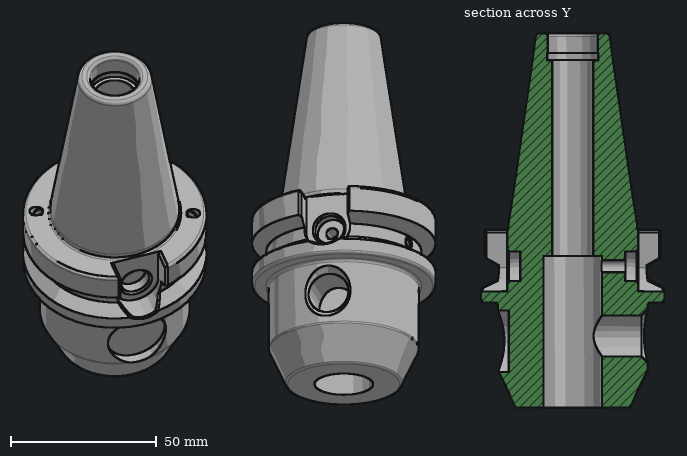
import cadquery as cq
import math


top_z = 65.4
taper_end_z = 0.25
flange_top_z = -2.0
groove_mid_z = -16.6
flange_bottom_z = -27.0
nose_cone_z = -50.2
bottom_z = -63.0

neck_diameter = 44.19
flange_diameter = 63.0
groove_diameter = 53.2
nose_diameter = 51.5
bottom_diameter = 39.6

taper_ratio = 7 / 24
groove_floor_half = 2.35
groove_flank_angle = 30.0

top_round = 1.5
neck_round = 0.7
flange_round = 1.0
nose_round = 1.0
cone_round = 1.5

seat_diameter = 17.0
seat_round = 1.1
seat_relief_diameter = 17.35
seat_relief_z = 58.5
seat_floor_z = 56.1
through_diameter = 14.0
bore_diameter = 20.0
bore_depth = 52.0

slot_width = 16.1
slot_floor_x = 22.5
slot_centre_z = -15.0
slot_chamfer = 0.95
slot_arc_chamfer = 0.5

slot_hole_z = -14.5
slot_hole_diameter = 10.05
slot_hole_mouth_diameter = 11.5
slot_hole_depth = 4.5
slot_pilot_diameter = 4.0

screw_z = -38.4
screw_diameter = 14.0
screw_mouth_diameter = 18.4
recess_z = -40.2
recess_diameter = 21.0
recess_floor_x = 22.0

coolant_angle = 20.0
coolant_tilt = 30.0
coolant_entry_radius = 26.9
coolant_diameter = 3.3
coolant_mouth_diameter = 4.0
coolant_mouth_depth = 1.2
vent_diameter = 2.8
vent_mouth_diameter = 4.0

neck_radius = neck_diameter / 2
flange_radius = flange_diameter / 2
groove_radius = groove_diameter / 2
nose_radius = nose_diameter / 2
bore_top_z = bottom_z + bore_depth
top_radius = neck_radius - (top_z - taper_end_z) * taper_ratio / 2
flank_height = (flange_radius - groove_radius) * math.tan(math.radians(groove_flank_angle))
groove_half = groove_floor_half + flank_height


def cylinder_x(diameter, z, x_start, x_end):
    """Cylinder along X between two X positions."""
    return cq.Workplane("YZ", origin=(x_start, 0, z)).circle(diameter / 2).extrude(x_end - x_start)


def cone_x(diameter_start, diameter_end, z, x_start, x_end):
    """Cone frustum along X."""
    return cq.Workplane(
        cq.Solid.makeCone(
            diameter_start / 2,
            diameter_end / 2,
            x_end - x_start,
            pnt=cq.Vector(x_start, 0, z),
            dir=cq.Vector(1, 0, 0),
        )
    )


def cylinder_z(diameter, z_low, z_high):
    """Cylinder on the part axis."""
    return cq.Workplane("XY", origin=(0, 0, z_low)).circle(diameter / 2).extrude(z_high - z_low)


def round_edge_at(body, radius, z, fillet):
    """Fillet the horizontal circular edge of given radius and height."""
    tol = 0.01
    edges = []
    for edge in body.edges("%CIRCLE").vals():
        if abs(edge.Center().z - z) < tol and abs(edge.radius() - radius) < tol:
            edges.append(edge)
    return body.newObject(edges).fillet(fillet)


def turned_body():
    outline = [
        (0, top_z),
        (top_radius, top_z),
        (neck_radius, taper_end_z),
        (neck_radius, flange_top_z),
        (flange_radius, flange_top_z),
        (flange_radius, groove_mid_z + groove_half),
        (groove_radius, groove_mid_z + groove_floor_half),
        (groove_radius, groove_mid_z - groove_floor_half),
        (flange_radius, groove_mid_z - groove_half),
        (flange_radius, flange_bottom_z),
        (nose_radius, flange_bottom_z),
        (nose_radius, nose_cone_z),
        (bottom_diameter / 2, bottom_z),
        (0, bottom_z),
    ]
    body = cq.Workplane("YZ").polyline(outline).close().revolve(360, (0, 0), (0, 1))
    rounded = [
        (top_radius, top_z, top_round),
        (neck_radius, flange_top_z, neck_round),
        (flange_radius, flange_bottom_z, flange_round),
        (nose_radius, flange_bottom_z, nose_round),
        (nose_radius, nose_cone_z, cone_round),
        (bottom_diameter / 2, bottom_z, nose_round),
    ]
    for radius, z, fillet in rounded:
        body = round_edge_at(body, radius, z, fillet)
    return body


def cut_axial_bores(body):
    body = body.cut(cylinder_z(through_diameter, bottom_z, top_z))
    body = body.cut(cylinder_z(seat_diameter, seat_floor_z, top_z))
    body = round_edge_at(body, seat_diameter / 2, top_z, seat_round)
    body = body.cut(cylinder_z(seat_relief_diameter, seat_floor_z, seat_relief_z))
    return body.cut(cylinder_z(bore_diameter, bottom_z, bore_top_z))


def slot_prism(side):
    """U-shaped slot, round at the bottom, from the slot floor out past the flange."""
    half_width = slot_width / 2
    open_z = flange_top_z + half_width
    return (
        cq.Workplane("YZ", origin=(side * slot_floor_x, 0, 0))
        .moveTo(-half_width, open_z)
        .lineTo(-half_width, slot_centre_z)
        .threePointArc((0, slot_centre_z - half_width), (half_width, slot_centre_z))
        .lineTo(half_width, open_z)
        .close()
        .extrude(side * flange_radius)
    )


def slot_edges(body):
    """Outer edges of both slots: straight ones above the groove and curved ones below it."""
    straight = []
    curved = []
    tol = 0.01
    for edge in body.edges().vals():
        box = edge.BoundingBox()
        within_slot = max(-box.ymin, box.ymax) < slot_width / 2 + tol
        off_floor = abs(edge.Center().x) > slot_floor_x + tol
        if not (within_slot and off_floor):
            continue
        keeps_y = box.ylen < tol
        if keeps_y and box.zmin > groove_mid_z + groove_half - tol:
            straight.append(edge)
        elif not keeps_y and box.zmax < groove_mid_z - groove_floor_half + tol:
            curved.append(edge)
    return straight, curved


def cut_drive_slots(body):
    """Two opposite slots with broken edges."""
    for side in (-1, 1):
        body = body.cut(slot_prism(side))
    _, curved = slot_edges(body)
    body = body.newObject(curved).chamfer(slot_arc_chamfer)
    straight, _ = slot_edges(body)
    return body.newObject(straight).chamfer(slot_chamfer)


def round_flange_rim(body):
    """Round the top rim of the flange, running on across the chamfered slot corners."""
    round_start = flange_radius - flange_round
    round_end_z = flange_top_z - flange_round
    diagonal = flange_round * math.sqrt(0.5)
    waste = (
        cq.Workplane("YZ")
        .moveTo(round_start, flange_top_z)
        .threePointArc((round_start + diagonal, round_end_z + diagonal), (flange_radius, round_end_z))
        .lineTo(flange_radius + flange_round, round_end_z)
        .lineTo(flange_radius + flange_round, flange_top_z + flange_round)
        .lineTo(round_start, flange_top_z + flange_round)
        .close()
        .revolve(360, (0, 0), (0, 1))
    )
    return body.cut(waste)


def cut_slot_hole(body, side):
    """Flat-bottomed hole in the slot floor."""
    mouth_depth = (slot_hole_mouth_diameter - slot_hole_diameter) / 2
    hole_floor_x = slot_floor_x - slot_hole_depth
    hole = cylinder_x(slot_hole_diameter, slot_hole_z, hole_floor_x, slot_floor_x)
    mouth = cone_x(
        slot_hole_diameter, slot_hole_mouth_diameter, slot_hole_z, slot_floor_x - mouth_depth, slot_floor_x
    )
    cutter = hole.union(mouth)
    if side < 0:
        cutter = cutter.mirror("YZ")
    return body.cut(cutter)


def cut_pilot_hole(body):
    """Small hole from the floor of the -X slot into the bore."""
    return body.cut(cylinder_x(slot_pilot_diameter, slot_hole_z, -slot_floor_x, 0))


def cut_screw_hole(body):
    """Clamping screw hole from -X into the bore, with a 45 degree mouth."""
    mouth_depth = (screw_mouth_diameter - screw_diameter) / 2
    body = body.cut(cylinder_x(screw_diameter, screw_z, -nose_radius, 0))
    mouth = cone_x(screw_mouth_diameter, screw_diameter, screw_z, -nose_radius, -nose_radius + mouth_depth)
    return body.cut(mouth)


def cut_side_recess(body):
    return body.cut(cylinder_x(recess_diameter, recess_z, recess_floor_x, nose_radius))


def cylinder_along(diameter, start, direction, length):
    return cq.Workplane(cq.Solid.makeCylinder(diameter / 2, length, start, direction))


def cut_coolant_holes(body, turn):
    """Inclined hole from the flange face, meeting a radial vent hole from the groove."""
    tilt = math.radians(coolant_tilt)
    entry = cq.Vector(0, coolant_entry_radius, flange_top_z)
    inward = cq.Vector(0, -math.sin(tilt), -math.cos(tilt))
    passage_length = (flange_top_z - groove_mid_z) / math.cos(tilt)
    meeting = entry + inward * passage_length
    above = entry - inward * coolant_mouth_diameter
    mouth_length = coolant_mouth_diameter + coolant_mouth_depth
    vent_mouth_depth = (vent_mouth_diameter - vent_diameter) / 2
    outward = cq.Vector(0, 1, 0)
    vent_end = cq.Vector(0, groove_radius, groove_mid_z)
    cutters = [
        cylinder_along(coolant_diameter, entry, inward, passage_length),
        cylinder_along(coolant_mouth_diameter, above, inward, mouth_length),
        cylinder_along(vent_diameter, meeting, outward, groove_radius - meeting.y),
        cq.Workplane(
            cq.Solid.makeCone(
                vent_mouth_diameter / 2, vent_diameter / 2, vent_mouth_depth, vent_end, outward * -1
            )
        ),
    ]
    for cutter in cutters:
        body = body.cut(cutter.rotate((0, 0, 0), (0, 0, 1), turn))
    return body


result = cut_axial_bores(turned_body())
result = cut_drive_slots(result)
result = round_flange_rim(result)
for side in (-1, 1):
    result = cut_slot_hole(result, side)
result = cut_pilot_hole(result)
result = cut_screw_hole(result)
result = cut_side_recess(result)
for turn in (-coolant_angle, 180 - coolant_angle):
    result = cut_coolant_holes(result, turn)